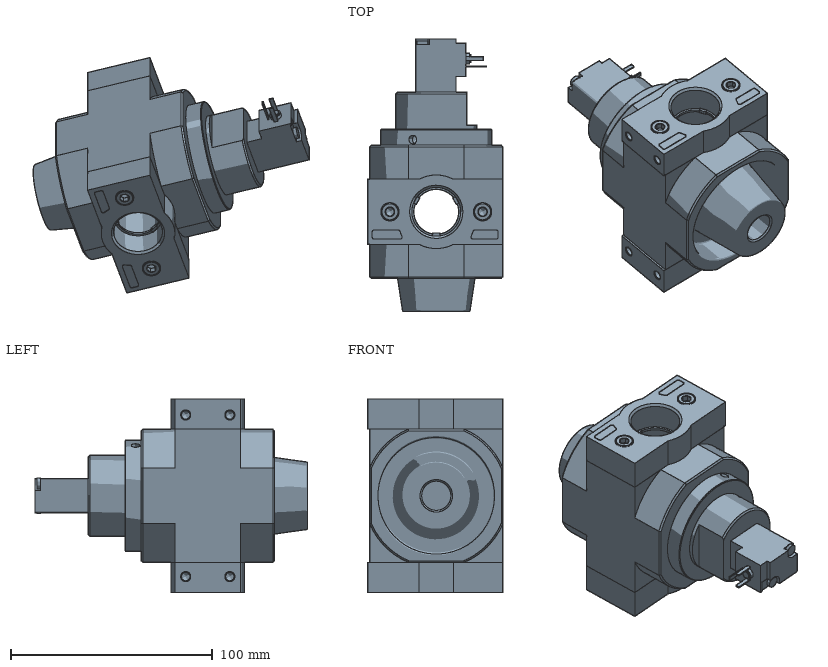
import cadquery as cq
import math


OVERALL_LENGTH = 135.0
OVERALL_HEIGHT = 96.0
DRILL_POINT_RATIO = math.tan(math.radians(31))
SELECTION_MARGIN = 0.1

HOUSING_WIDTH = 66.0
HALF_WIDTH = HOUSING_WIDTH / 2
HOUSING_CORNER_RADIUS = 35.8
HOUSING_CHAMFER = 0.8
BLOCK_LENGTH = 32.3
LIP_DIAMETER = 22.1

FRONT_Y = -49.4
RECESS_FLOOR_Y = -18.6
RECESS_RADIUS = 28.9
RECESS_MOUTH_FILLET = 1.0
RECESS_FLOOR_FILLET = 1.0
CONE_BASE_RADIUS = 21.3
CONE_TIP_RADIUS = 16.7
CONE_TIP_FILLET = 0.7
CONE_BASE_FILLET = 0.8
CONE_HOLE_DIAMETER = 14.5
CONE_HOLE_CHAMFER = 0.8
CONE_HOLE_DEPTH = 30.0

FLANGE_THICKNESS = (OVERALL_HEIGHT - HOUSING_WIDTH) / 2
FLANGE_LEFT = -34.0
FLANGE_BULGE_RADIUS = 18.2
FLANGE_BORE_DIAMETER = 24.2
FLANGE_BORE_CHAMFER = 1.1
LIP_HEIGHT = 1.2
TAB_INNER_RADIUS = 10.4
TAB_OUTER_RADIUS = 11.9
TAB_WIDTH = 3.6
TAB_HEIGHT = 1.8
TAB_ANGLES = (30, 150, 270)
SIDE_HOLE_DIAMETER = 4.2
SIDE_HOLE_MOUTH = 5.0
SIDE_HOLE_DEPTH = 8.0
SIDE_HOLE_Y = 11.0
SIDE_HOLE_FROM_OUTER_FACE = 8.0
LABEL_FRONT_Y = -13.5
LABEL_BACK_Y = -9.0
LABEL_SLANT = 1.8
LABEL_DEPTH = 0.3
LABEL_CORNER_RADIUS = 1.0
LABEL_SPANS = [(-31.7, -16.5), (30.6, 16.7)]

SCREW_X = 23.0
SCREW_HEAD_DIAMETER = 9.0
SCREW_HEAD_CHAMFER = 0.5
SCREW_HEAD_HEIGHT = 6.0
SCREW_SOCKET_FLATS = 4.2
SCREW_SOCKET_MOUTH = 4.7
SCREW_SOCKET_DEPTH = 3.0

RING_RADIUS = 27.5
RING_BACK_Y = 41.0
RING_CHAMFER = 0.4
RING_HOLE_DIAMETER = 4.2
RING_HOLE_DEPTH = 4.0
RING_HOLE_Y = 35.8
RING_HOLE_ANGLE = 25.0

COIL_RADIUS = 20.1
COIL_BACK_Y = 59.3
COIL_FLAT_X = 15.1
COIL_FLAT_FRONT_Y = 42.9
COIL_CHAMFER = 0.8

CONNECTOR_BACK_Y = FRONT_Y + OVERALL_LENGTH
CONNECTOR_LEFT = -10.3
CONNECTOR_RIGHT = 9.9
CONNECTOR_HEIGHT = 17.0
CONNECTOR_FILLET = 1.2
SOCKET_FACE_X = 14.7
SOCKET_FRONT_Y = 67.0
SOCKET_BACK_Y = 83.5
HEAD_X = 6.8
HEAD_Z = 6.1
HEAD_DIAMETER = 5.5
NOTCH_DIAMETER = 7.0
NOTCH_DEPTH = 2.7
HEAD_HEIGHT = 1.8
TERMINAL_Y = 75.9
BOSS_DIAMETER = 5.5
BOSS_END_X = 16.5
STUD_DIAMETER = 4.0
STUD_END_X = 17.1
BLADE_WIDTH = 2.0
BLADE_THICKNESS = 0.7
BLADE_Z = 3.8
BLADE_END_X = 23.4
GROUND_Y = 72.0
GROUND_END_X = 25.0


def rod_y(radius, y_start, y_end, x=0, z=0):
    """Cylinder along Y."""
    return cq.Workplane(cq.Solid.makeCylinder(
        radius, y_end - y_start, cq.Vector(x, y_start, z), cq.Vector(0, 1, 0)))


def box_between(x_range, y_range, z_range):
    """Box between two limits along each axis."""
    sizes = [high - low for low, high in (x_range, y_range, z_range)]
    corner = cq.Vector(x_range[0], y_range[0], z_range[0])
    return cq.Workplane(cq.Solid.makeBox(*sizes, corner))


def drill(radius, depth, start, direction):
    """Cutter for a blind hole that ends in a drill point."""
    tip = cq.Solid.makeCone(radius, 0, radius * DRILL_POINT_RATIO, start + direction * depth, direction)
    return cq.Workplane(cq.Solid.makeCylinder(radius, depth, start, direction)).union(cq.Workplane(tip))


def countersink(mouth_radius, hole_radius, start, direction):
    """Cutter for a 45 degree chamfer at the mouth of a hole."""
    return cq.Workplane(cq.Solid.makeCone(
        mouth_radius, hole_radius, mouth_radius - hole_radius, start, direction))


def make_cone():
    """Cone with its tip at the front, the tip edge rounded."""
    profile = [
        (0, RECESS_FLOOR_Y),
        (CONE_BASE_RADIUS, RECESS_FLOOR_Y),
        (CONE_TIP_RADIUS, FRONT_Y),
        (0, FRONT_Y),
    ]
    cone = cq.Workplane("XY").polyline(profile).close().revolve(360, (0, 0), (0, 1))
    return cone.faces("<Y").edges().fillet(CONE_TIP_FILLET)


def make_recess():
    """Cutter for the recess that opens to the front round the cone."""
    recess = rod_y(RECESS_RADIUS, -HALF_WIDTH, RECESS_FLOOR_Y)
    return recess.faces(">Y").edges().fillet(RECESS_FLOOR_FILLET)


def make_cone_hole():
    """Cutter for the blind hole in the cone, with its mouth chamfer."""
    radius = CONE_HOLE_DIAMETER / 2
    start = cq.Vector(0, FRONT_Y, 0)
    mouth = countersink(radius + CONE_HOLE_CHAMFER, radius, start, cq.Vector(0, 1, 0))
    return rod_y(radius, FRONT_Y, FRONT_Y + CONE_HOLE_DEPTH).union(mouth)


def make_housing():
    flats = cq.Workplane("XY").box(HOUSING_WIDTH, HOUSING_WIDTH, HOUSING_WIDTH)
    barrel = rod_y(HOUSING_CORNER_RADIUS, -HALF_WIDTH, HALF_WIDTH).intersect(flats)
    barrel = barrel.faces("<Y or >Y").edges().chamfer(HOUSING_CHAMFER)
    barrel = barrel.cut(make_recess())
    barrel = barrel.faces("<Y").edges("%CIRCLE").edges(cq.selectors.RadiusNthSelector(0))
    barrel = barrel.fillet(RECESS_MOUTH_FILLET)
    block = cq.Workplane("XY").box(HOUSING_WIDTH, BLOCK_LENGTH, HOUSING_WIDTH)
    housing = barrel.union(block).union(make_cone())
    reach = CONE_BASE_RADIUS + SELECTION_MARGIN
    cone_base = cq.selectors.BoxSelector(
        (-reach, RECESS_FLOOR_Y - SELECTION_MARGIN, -reach),
        (reach, RECESS_FLOOR_Y + SELECTION_MARGIN, reach),
        boundingbox=True)
    housing = housing.edges(cone_base).fillet(CONE_BASE_FILLET).cut(make_cone_hole())
    return housing.cut(cq.Workplane("XY").circle(LIP_DIAMETER / 2).extrude(HOUSING_WIDTH, both=True))


def make_label(square_end, slanted_end):
    """Cutter for a shallow label pocket in the top of the upper flange."""
    slant = math.copysign(LABEL_SLANT, slanted_end - square_end)
    outline = [
        (square_end, LABEL_FRONT_Y),
        (slanted_end, LABEL_FRONT_Y),
        (slanted_end - slant, LABEL_BACK_Y),
        (square_end, LABEL_BACK_Y),
    ]
    plane = cq.Workplane("XY").workplane(offset=OVERALL_HEIGHT / 2 - LABEL_DEPTH)
    return plane.polyline(outline).close().extrude(LABEL_DEPTH).edges("|Z").fillet(LABEL_CORNER_RADIUS)


def make_side_hole(y):
    """Cutter for a countersunk blind hole in the left side of the upper flange."""
    inward = cq.Vector(1, 0, 0)
    start = cq.Vector(FLANGE_LEFT, y, OVERALL_HEIGHT / 2 - SIDE_HOLE_FROM_OUTER_FACE)
    radius = SIDE_HOLE_DIAMETER / 2
    mouth = countersink(SIDE_HOLE_MOUTH / 2, radius, start, inward)
    return drill(radius, SIDE_HOLE_DEPTH, start, inward).union(mouth)


def make_tab(angle):
    """One tab on the lip of the upper flange, reaching into the flow bore."""
    tab = box_between(
        (TAB_INNER_RADIUS, TAB_OUTER_RADIUS),
        (-TAB_WIDTH / 2, TAB_WIDTH / 2),
        (HALF_WIDTH, HALF_WIDTH + TAB_HEIGHT))
    return tab.rotate((0, 0, 0), (0, 0, 1), angle)


def make_upper_flange():
    plate = box_between(
        (FLANGE_LEFT, HALF_WIDTH), (-BLOCK_LENGTH / 2, BLOCK_LENGTH / 2), (HALF_WIDTH, OVERALL_HEIGHT / 2))
    base = cq.Workplane("XY").workplane(offset=HALF_WIDTH)
    flange = plate.union(base.circle(FLANGE_BULGE_RADIUS).extrude(FLANGE_THICKNESS))
    flange = flange.cut(base.circle(LIP_DIAMETER / 2).extrude(LIP_HEIGHT))
    above_lip = base.workplane(offset=LIP_HEIGHT)
    flange = flange.cut(above_lip.circle(FLANGE_BORE_DIAMETER / 2).extrude(FLANGE_THICKNESS - LIP_HEIGHT))
    bore_rim = cq.selectors.RadiusNthSelector(0)
    flange = flange.faces(">Z").edges(bore_rim).chamfer(FLANGE_BORE_CHAMFER)
    pockets = cq.Workplane("XY").workplane(offset=OVERALL_HEIGHT / 2 - SCREW_HEAD_HEIGHT)
    pockets = pockets.pushPoints([(-SCREW_X, 0), (SCREW_X, 0)])
    flange = flange.cut(pockets.circle(SCREW_HEAD_DIAMETER / 2).extrude(SCREW_HEAD_HEIGHT))
    for angle in TAB_ANGLES:
        flange = flange.union(make_tab(angle))
    for y in (-SIDE_HOLE_Y, SIDE_HOLE_Y):
        flange = flange.cut(make_side_hole(y))
    for square_end, slanted_end in LABEL_SPANS:
        flange = flange.cut(make_label(square_end, slanted_end))
    return flange


def make_upper_screw(x):
    """Chamfered screw head with a hexagon socket, flush with the top of the upper flange."""
    top = OVERALL_HEIGHT / 2
    plane = cq.Workplane("XY", origin=(x, 0, top - SCREW_HEAD_HEIGHT))
    head = plane.circle(SCREW_HEAD_DIAMETER / 2).extrude(SCREW_HEAD_HEIGHT)
    head = head.faces(">Z").chamfer(SCREW_HEAD_CHAMFER)
    socket_floor = cq.Workplane("XY", origin=(x, 0, top - SCREW_SOCKET_DEPTH))
    hexagon = socket_floor.polygon(6, SCREW_SOCKET_FLATS, circumscribed=True).extrude(SCREW_SOCKET_DEPTH)
    radius = SCREW_SOCKET_FLATS / 2
    start = cq.Vector(x, 0, top)
    down = cq.Vector(0, 0, -1)
    point = drill(radius, SCREW_SOCKET_DEPTH, start, down)
    mouth = countersink(SCREW_SOCKET_MOUTH / 2, radius, start, down)
    return head.cut(hexagon).cut(point).cut(mouth)


def make_ring():
    ring = rod_y(RING_RADIUS, HALF_WIDTH, RING_BACK_Y).faces(">Y").edges().chamfer(RING_CHAMFER)
    angle = math.radians(RING_HOLE_ANGLE)
    outward = cq.Vector(-math.sin(angle), 0, math.cos(angle))
    start = outward * RING_RADIUS + cq.Vector(0, RING_HOLE_Y, 0)
    hole = drill(RING_HOLE_DIAMETER / 2, RING_HOLE_DEPTH, start, outward * -1)
    return ring.cut(hole)


def make_coil():
    coil = rod_y(COIL_RADIUS, RING_BACK_Y, COIL_BACK_Y).faces(">Y").edges().chamfer(COIL_CHAMFER)
    beyond_flat = box_between(
        (COIL_FLAT_X, COIL_RADIUS), (COIL_FLAT_FRONT_Y, COIL_BACK_Y), (-COIL_RADIUS, COIL_RADIUS))
    return coil.cut(beyond_flat)


def make_terminals():
    """Boss with stud, two blades and the ground blade, all pointing along +X."""
    def rod_x(diameter, end_x):
        return cq.Workplane("YZ", origin=(SOCKET_FACE_X, TERMINAL_Y, 0)).circle(diameter / 2).extrude(
            end_x - SOCKET_FACE_X)

    def blade(y, z, width_y, width_z, end_x):
        return cq.Workplane("YZ", origin=(SOCKET_FACE_X, y, z)).rect(width_y, width_z).extrude(
            end_x - SOCKET_FACE_X)

    terminals = [rod_x(BOSS_DIAMETER, BOSS_END_X), rod_x(STUD_DIAMETER, STUD_END_X)]
    for z in (-BLADE_Z, BLADE_Z):
        terminals.append(blade(TERMINAL_Y, z, BLADE_WIDTH, BLADE_THICKNESS, BLADE_END_X))
    terminals.append(blade(GROUND_Y, 0, BLADE_THICKNESS, BLADE_WIDTH, GROUND_END_X))
    return terminals


def make_corner_notch(x, z, side):
    """Cutter for a round-ended notch, open to the nearest corner of the connector's back."""
    floor_y = CONNECTOR_BACK_Y - NOTCH_DEPTH
    radius = NOTCH_DIAMETER / 2
    depth_range = (floor_y, CONNECTOR_BACK_Y)
    reach_x = sorted((x, x + side * NOTCH_DIAMETER))
    reach_z = sorted((z, z - side * NOTCH_DIAMETER))
    notch = rod_y(radius, *depth_range, x, z)
    notch = notch.union(box_between(reach_x, depth_range, (z - radius, z + radius)))
    return notch.union(box_between((x - radius, x + radius), depth_range, reach_z))


def make_connector():
    half_height = CONNECTOR_HEIGHT / 2
    length_range = (COIL_BACK_Y, CONNECTOR_BACK_Y)
    height_range = (-half_height, half_height)
    connector = box_between((CONNECTOR_LEFT, CONNECTOR_RIGHT), length_range, height_range)
    connector = connector.faces("<X").edges("|Y").fillet(CONNECTOR_FILLET)
    connector = connector.union(box_between(
        (CONNECTOR_RIGHT, SOCKET_FACE_X), (SOCKET_FRONT_Y, SOCKET_BACK_Y), height_range))
    floor_y = CONNECTOR_BACK_Y - NOTCH_DEPTH
    middle_x = (CONNECTOR_LEFT + CONNECTOR_RIGHT) / 2
    for side in (-1, 1):
        x = middle_x + side * HEAD_X
        z = -side * HEAD_Z
        connector = connector.cut(make_corner_notch(x, z, side))
        connector = connector.union(rod_y(HEAD_DIAMETER / 2, floor_y, floor_y + HEAD_HEIGHT, x, z))
    for terminal in make_terminals():
        connector = connector.union(terminal)
    return connector


housing = make_housing()
upper_flange = make_upper_flange()
upper_screws = [make_upper_screw(x) for x in (-SCREW_X, SCREW_X)]
flanges = [upper_flange, upper_flange.mirror("XY")]
screws = upper_screws + [screw.mirror("XY") for screw in upper_screws]
ring = make_ring()
coil = make_coil()
connector = make_connector()

bodies = [housing, *flanges, *screws, ring, coil, connector]
result = cq.Compound.makeCompound([body.val() for body in bodies])